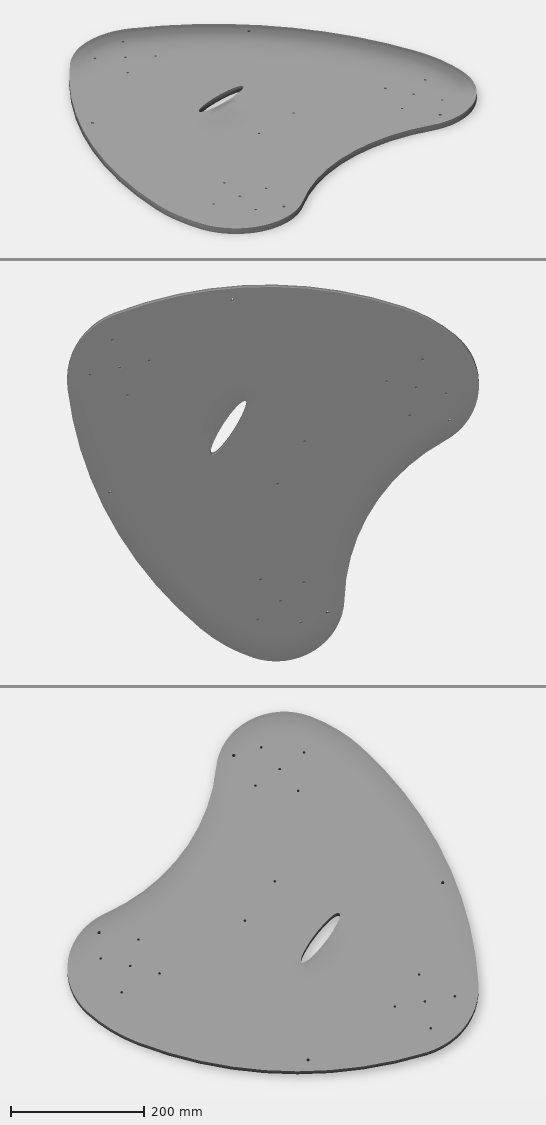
import cadquery as cq
import math

LENGTH = 567.2
WIDTH = 607.8
THICKNESS = 10.0

NOSE_RADIUS = 115.0
SIDE_RADIUS = 610.0
CROWN_RADIUS = 240.0
LOBE_RADIUS = 103.0
BACK_RADIUS = 304.0
CROWN_X = 154.5

HANDLE_X = -20.0
HANDLE_LENGTH = 100.0
HANDLE_WIDTH = 20.0

FRONT_CASTER_X = -210.0
REAR_CASTER_X = 190.0
REAR_CASTER_Y = 200.0
CASTER_HOLE_PITCH = 65.0
SMALL_HOLE_DIAMETER = 4.0

PAIR_X = 90.0
PAIR_PITCH = 80.0

LARGE_HOLE_DIAMETER = 5.0
LARGE_HOLE_FRONT_X = -120.0
LARGE_HOLE_REAR_X = 260.0
LARGE_HOLE_Y = 180.0


def point_along(start, target, distance):
    """Point at a signed distance from start on the line towards target."""
    scale = distance / math.dist(start, target)
    return tuple(s + (t - s) * scale for s, t in zip(start, target))


def arc_middle(center, radius, start, end):
    """Middle of the shorter arc between two points of a circle."""
    chord_middle = ((start[0] + end[0]) / 2, (start[1] + end[1]) / 2)
    return point_along(center, chord_middle, radius)


def circle_intersection(center_a, radius_a, center_b, radius_b):
    """Crossing of two circles on the right-hand side of the line from a to b."""
    gap = math.dist(center_a, center_b)
    along = (gap**2 + radius_a**2 - radius_b**2) / (2 * gap)
    offset = math.sqrt(radius_a**2 - along**2)
    ux = (center_b[0] - center_a[0]) / gap
    uy = (center_b[1] - center_a[1]) / gap
    return (center_a[0] + along * ux + offset * uy, center_a[1] + along * uy - offset * ux)


def mirrored(point):
    """Reflection of a point across the XZ plane."""
    return (point[0], -point[1])


def make_plate():
    nose = (NOSE_RADIUS - LENGTH / 2, 0.0)
    crown = (CROWN_X, WIDTH / 2 - CROWN_RADIUS)
    side = circle_intersection(nose, SIDE_RADIUS - NOSE_RADIUS, crown, SIDE_RADIUS - CROWN_RADIUS)
    lobe_x = LENGTH / 2 - LOBE_RADIUS
    lobe = (lobe_x, crown[1] + math.sqrt((CROWN_RADIUS - LOBE_RADIUS) ** 2 - (lobe_x - CROWN_X) ** 2))
    back = (lobe_x + math.sqrt((LOBE_RADIUS + BACK_RADIUS) ** 2 - lobe[1] ** 2), 0.0)

    nose_end = point_along(side, nose, SIDE_RADIUS)
    side_end = point_along(side, crown, SIDE_RADIUS)
    crown_end = point_along(crown, lobe, CROWN_RADIUS)
    lobe_end = point_along(lobe, back, LOBE_RADIUS)

    nose_tip = (-LENGTH / 2, 0.0)
    side_middle = arc_middle(side, SIDE_RADIUS, nose_end, side_end)
    crown_middle = arc_middle(crown, CROWN_RADIUS, side_end, crown_end)
    lobe_tip = (LENGTH / 2, lobe[1])
    back_middle = (back[0] - BACK_RADIUS, 0.0)

    outline = (
        cq.Workplane("XY")
        .moveTo(*mirrored(nose_end))
        .threePointArc(nose_tip, nose_end)
        .threePointArc(side_middle, side_end)
        .threePointArc(crown_middle, crown_end)
        .threePointArc(lobe_tip, lobe_end)
        .threePointArc(back_middle, mirrored(lobe_end))
        .threePointArc(mirrored(lobe_tip), mirrored(crown_end))
        .threePointArc(mirrored(crown_middle), mirrored(side_end))
        .threePointArc(mirrored(side_middle), mirrored(nose_end))
        .close()
    )
    return outline.extrude(THICKNESS)


def caster_holes(x, y):
    """Centre hole and a square of four, turned by minus its bearing from the front caster."""
    turn = -math.atan2(y, x - FRONT_CASTER_X)
    corner_distance = CASTER_HOLE_PITCH / math.sqrt(2)
    points = [(x, y)]
    for corner_angle in (45, 135, 225, 315):
        angle = turn + math.radians(corner_angle)
        points.append((x + corner_distance * math.cos(angle), y + corner_distance * math.sin(angle)))
    return points


def drill(body, points, diameter):
    """Cut through holes of one diameter."""
    return body.cut(cq.Workplane("XY").pushPoints(points).circle(diameter / 2).extrude(THICKNESS))


def cut_handle(body):
    slot = cq.Workplane("XY").center(HANDLE_X, 0).ellipse(HANDLE_WIDTH / 2, HANDLE_LENGTH / 2)
    return body.cut(slot.extrude(THICKNESS))


small_holes = caster_holes(FRONT_CASTER_X, 0.0)
large_holes = []
for y_side in (-1, 1):
    small_holes += caster_holes(REAR_CASTER_X, y_side * REAR_CASTER_Y)
    small_holes.append((PAIR_X, y_side * PAIR_PITCH / 2))
    for hole_x in (LARGE_HOLE_FRONT_X, LARGE_HOLE_REAR_X):
        large_holes.append((hole_x, y_side * LARGE_HOLE_Y))

result = cut_handle(make_plate())
result = drill(result, small_holes, SMALL_HOLE_DIAMETER)
result = drill(result, large_holes, LARGE_HOLE_DIAMETER)